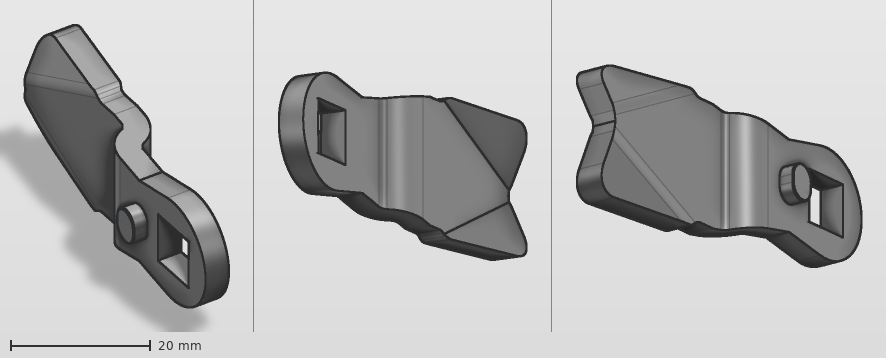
import cadquery as cq
import math

thickness = 4.0
head_radius = 8.5
square_side = 8.1
overall_length = 53.95
tip_x = head_radius - overall_length

boss_x = -8.95
boss_width = 4.4
boss_height = 5.65
boss_depth = 2.45
boss_chamfer = 0.15

bend_start_x = -19.8
bend_inner_radius = 1.15
bend_outer_radius = bend_inner_radius + thickness
arc_centre_distance = bend_inner_radius + bend_outer_radius
bend_length = math.sqrt(arc_centre_distance**2 - (2 * bend_inner_radius) ** 2)
bend_end_x = bend_start_x + bend_length

neck_half_height = 7.05
shoulder_half_height = 9.5
shoulder_x = -21.8
shoulder_end_x = -25.35
wing_root_half_height = 10.45
wing_root_x = -26.8
wing_tip_half_height = 9.9
tip_corner_radius = 3.95
root_corner_radius = 1.6
notch_depth = 0.25
notch_half_height = 1.55

fold_start_height = 0.8
fold_slope = 25.0
fold_angle = 26.0
fold_radius = thickness
wing_reach = 13.5
fold_overrun = 10.8
fold_length = overall_length

stock_size = 32.35
corner_tolerance = 0.05


def round_corner(prism, x, half_height, radius):
    """Round the pair of edges along Y at x and plus or minus half_height."""

    def is_at_corner(edge):
        centre = edge.Center()
        return math.hypot(centre.x - x, abs(centre.z) - half_height) < corner_tolerance

    return prism.edges("|Y").filter(is_at_corner).fillet(radius)


def plate_outline():
    """Plate silhouette in XZ, extruded through the full depth."""
    neck_distance = math.hypot(boss_x, neck_half_height)
    neck_direction = math.atan2(neck_half_height, boss_x)
    tangent_angle = neck_direction - math.acos(head_radius / neck_distance)
    tangent_x = head_radius * math.cos(tangent_angle)
    tangent_z = head_radius * math.sin(tangent_angle)
    upper_edge = [
        (boss_x, neck_half_height),
        (shoulder_x, shoulder_half_height),
        (shoulder_end_x, shoulder_half_height),
        (wing_root_x, wing_root_half_height),
        (tip_x, wing_tip_half_height),
        (tip_x, notch_half_height),
    ]
    lower_edge = [(x, -z) for x, z in reversed(upper_edge)]
    outline = (
        cq.Workplane("XZ")
        .moveTo(tangent_x, -tangent_z)
        .threePointArc((head_radius, 0), (tangent_x, tangent_z))
    )
    for point in upper_edge + [(tip_x + notch_depth, 0)] + lower_edge:
        outline = outline.lineTo(*point)
    prism = outline.close().extrude(stock_size / 2, both=True)

    prism = round_corner(prism, tip_x, wing_tip_half_height, tip_corner_radius)
    prism = round_corner(prism, wing_root_x, wing_root_half_height, root_corner_radius)
    return round_corner(prism, shoulder_end_x, shoulder_half_height, root_corner_radius)


def bent_strip():
    """Constant-thickness strip with the offset bend, wider than the outline."""
    sweep = math.asin(bend_length / arc_centre_distance)

    def arc_point(centre_x, side, radius, angle):
        """Point on a bend arc; side is 1 for the upper arc and -1 for the lower one."""
        centre_y = thickness - side * bend_inner_radius
        x = centre_x + side * radius * math.sin(angle)
        return x, centre_y + side * radius * math.cos(angle)

    def upper(radius, angle):
        return arc_point(bend_start_x, 1, radius, angle)

    def lower(radius, angle):
        return arc_point(bend_end_x, -1, radius, angle)

    return (
        cq.Workplane("XY")
        .moveTo(tip_x, thickness)
        .lineTo(*upper(bend_inner_radius, 0))
        .threePointArc(upper(bend_inner_radius, sweep / 2), upper(bend_inner_radius, sweep))
        .threePointArc(lower(bend_outer_radius, sweep / 2), lower(bend_outer_radius, 0))
        .lineTo(head_radius, 0)
        .lineTo(head_radius, thickness)
        .lineTo(*lower(bend_inner_radius, 0))
        .threePointArc(lower(bend_inner_radius, sweep / 2), lower(bend_inner_radius, sweep))
        .threePointArc(upper(bend_outer_radius, sweep / 2), upper(bend_outer_radius, 0))
        .lineTo(tip_x, 2 * thickness)
        .close()
        .extrude(stock_size / 2, both=True)
    )


def fold_workplane():
    """Plane square to the upper fold line: local x runs outward, local y along +Y."""
    slope = math.radians(fold_slope)
    along_fold = (math.cos(slope), 0, math.sin(slope))
    outward = (-math.sin(slope), 0, math.cos(slope))
    start = (
        tip_x - fold_overrun * along_fold[0],
        0,
        fold_start_height - fold_overrun * along_fold[2],
    )
    normal = tuple(-component for component in along_fold)
    return cq.Workplane(cq.Plane(origin=start, xDir=outward, normal=normal))


def beyond_fold():
    """Everything outside the upper fold line."""
    return (
        fold_workplane()
        .center(stock_size / 2, 0)
        .rect(stock_size, stock_size)
        .extrude(-fold_length)
    )


def folded_wing():
    """Upper wing: rounded fold on the front, sharp fold on the back."""
    angle = math.radians(fold_angle)
    front_y = thickness
    back_y = 2 * thickness

    def fold_point(turn):
        return fold_radius * math.sin(turn), front_y + fold_radius * (1 - math.cos(turn))

    arc_end = fold_point(angle)
    front_tip_y = arc_end[1] + (wing_reach - arc_end[0]) * math.tan(angle)
    return (
        fold_workplane()
        .moveTo(0, front_y)
        .threePointArc(fold_point(angle / 2), arc_end)
        .lineTo(wing_reach, front_tip_y)
        .lineTo(wing_reach, back_y + wing_reach * math.tan(angle))
        .lineTo(0, back_y)
        .close()
        .extrude(-fold_length)
    )


def stop_boss():
    """Upright obround boss standing out from the front of the head."""
    return (
        cq.Workplane("XZ")
        .center(boss_x, 0)
        .slot2D(boss_height, boss_width, 90)
        .extrude(boss_depth)
        .faces("<Y")
        .chamfer(boss_chamfer)
    )


outside = beyond_fold()
upper_wing = folded_wing()
body = bent_strip().cut(outside).cut(outside.mirror("XY"))
body = body.union(upper_wing).union(upper_wing.mirror("XY"))
body = body.intersect(plate_outline())
square_hole = cq.Workplane("XZ").rect(square_side, square_side).extrude(-thickness)
result = body.cut(square_hole).union(stop_boss())